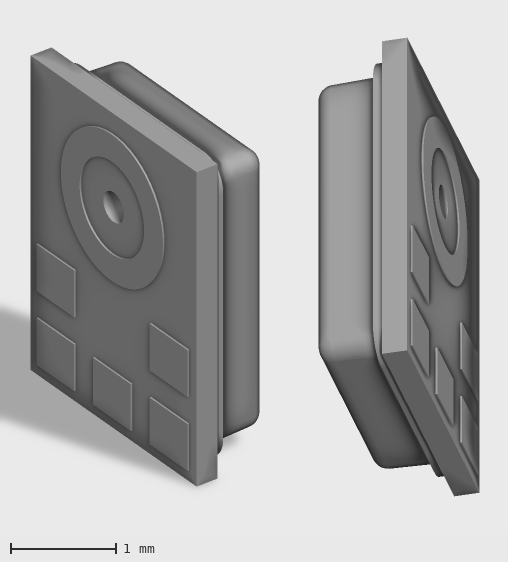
import cadquery as cq

BOARD_WIDTH = 2.65
BOARD_HEIGHT = 3.5
BOARD_THICKNESS = 0.25
PORT_DIAMETER = 0.33
PORT_Z = 0.71

CONTACT_THICKNESS = 0.02
RING_OUTER_DIAMETER = 1.63
RING_INNER_DIAMETER = 1.03
PAD_WIDTH = 0.602
PAD_HEIGHT = 0.52
PAD_PITCH_X = 0.903
LOWER_PAD_Z = -1.365
UPPER_PAD_Z = -0.542

TOTAL_DEPTH = 0.98
LID_DEPTH = TOTAL_DEPTH - BOARD_THICKNESS - CONTACT_THICKNESS
FLANGE_THICKNESS = 0.1
FLANGE_SIDE_INSET = 0.05
FLANGE_END_INSET = 0.075
FLANGE_WIDTH = BOARD_WIDTH - 2 * FLANGE_SIDE_INSET
FLANGE_HEIGHT = BOARD_HEIGHT - 2 * FLANGE_END_INSET
FLANGE_CORNER_RADIUS = 0.3
FLANGE_LEDGE = 0.125
COVER_DRAFT = 2.0
COVER_TOP_FILLET = 0.15
COVER_BASE_FILLET = 0.05


def plane_facing_back(y):
    """XZ plane at the given Y, extruding toward +Y; its local y axis points to -Z."""
    return cq.Workplane(cq.Plane(origin=(0, y, 0), xDir=(1, 0, 0), normal=(0, 1, 0)))


def plane_facing_front(y, x=0.0, z=0.0):
    """XZ plane at the given Y, extruding toward -Y; its local y axis points to +Z."""
    return cq.Workplane("XZ", origin=(x, y, z))


def make_board():
    plate = plane_facing_back(0).rect(BOARD_WIDTH, BOARD_HEIGHT).extrude(BOARD_THICKNESS)
    port = plane_facing_back(0).center(0, -PORT_Z).circle(PORT_DIAMETER / 2).extrude(BOARD_THICKNESS)
    return plate.cut(port)


def rounded_outline(inset):
    """Flange outline moved inward, keeping the same corner centres."""
    return cq.Sketch().rect(FLANGE_WIDTH - 2 * inset, FLANGE_HEIGHT - 2 * inset).vertices().fillet(
        FLANGE_CORNER_RADIUS - inset
    )


def make_lid():
    flange_back = BOARD_THICKNESS + FLANGE_THICKNESS
    flange = plane_facing_back(BOARD_THICKNESS).placeSketch(rounded_outline(0)).extrude(FLANGE_THICKNESS)
    cover = (
        plane_facing_back(flange_back)
        .placeSketch(rounded_outline(FLANGE_LEDGE))
        .extrude(LID_DEPTH - FLANGE_THICKNESS, taper=COVER_DRAFT)
        .faces(">Y")
        .edges()
        .fillet(COVER_TOP_FILLET)
    )
    lid = flange.union(cover)
    ledge = lid.faces("|Y").faces(">Y[-2]").val()
    foot_edges = ledge.innerWires()[0].Edges()
    return lid.newObject(foot_edges).fillet(COVER_BASE_FILLET)


def make_ring():
    return (
        plane_facing_front(0, z=PORT_Z)
        .circle(RING_OUTER_DIAMETER / 2)
        .circle(RING_INNER_DIAMETER / 2)
        .extrude(CONTACT_THICKNESS)
    )


def make_pad(x, z):
    return plane_facing_front(0, x, z).rect(PAD_WIDTH, PAD_HEIGHT).extrude(CONTACT_THICKNESS)


pad_centres = [
    (-PAD_PITCH_X, LOWER_PAD_Z),
    (0, LOWER_PAD_Z),
    (PAD_PITCH_X, LOWER_PAD_Z),
    (-PAD_PITCH_X, UPPER_PAD_Z),
    (PAD_PITCH_X, UPPER_PAD_Z),
]

board = make_board()
lid = make_lid()
ring = make_ring()
pads = [make_pad(x, z) for x, z in pad_centres]

result = cq.Compound.makeCompound([
    board.solids().val(),
    lid.solids().val(),
    ring.val(),
    *[pad.val() for pad in pads],
])